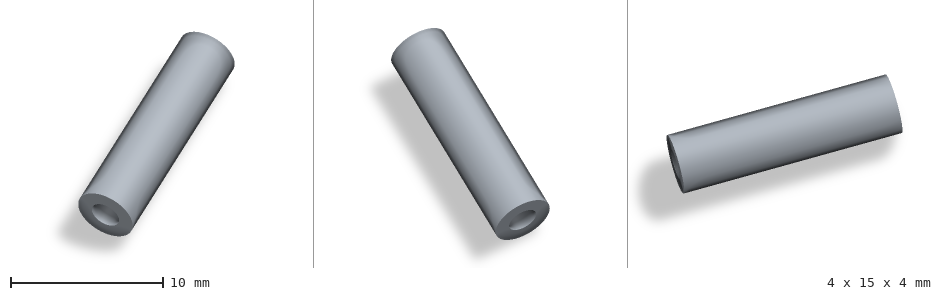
import cadquery as cq

length = 15.0
outer_diameter = 4.0
bore_diameter = outer_diameter / 2

result = (
    cq.Workplane("XZ", origin=(0, length / 2, 0))
    .circle(outer_diameter / 2)
    .circle(bore_diameter / 2)
    .extrude(length)
)